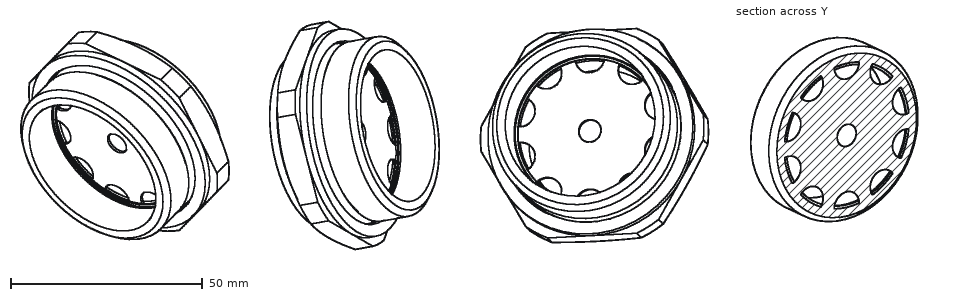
import cadquery as cq
import math


thread_end = 9.7
seal_face = 12.0
hex_front = 14.05
hex_bevel_start = 19.4
hex_bevel_end = 23.0
overall_length = 25.7

hex_sides = 6
hex_turn = 30.0
hex_across_flats = 55.0
corner_radius = 30.0
bevel_angle = math.radians(30)
cap_base_radius = corner_radius - (hex_bevel_end - hex_bevel_start) / math.tan(bevel_angle)

cap_top_radius = 23.5
cap_fillet = 1.1

thread_radius = 23.9
thread_chamfer = 1.5
neck_radius = 22.3
undercut_fillet = 2.1
undercut_angle = math.radians(60)

seal_outer_radius = hex_across_flats / 2
seal_inner_radius = 24.3

bore_radius = 20.1
bore_end_radius = 19.9
ledge_radius = 19.25
bore_taper_start = 10.25
bore_depth = 10.7
floor_depth = 11.2

plate_thickness = 0.7
plate_back = floor_depth + plate_thickness
plate_radius = 19.9
centre_hole_radius = 3.0
scallop_count = 10
scallop_radius = 3.95
scallop_pitch_radius = 19.6
chamber_radius = 18.95
end_wall = 3.0


def cylinder(radius, start, end):
    """Solid cylinder on the Y axis between two axial positions."""
    return cq.Workplane("XZ", origin=(0, start, 0)).circle(radius).extrude(start - end)


def revolve_profile(profile):
    """Turn a closed (radius, axial position) profile about the Y axis."""
    return profile.close().revolve(360, (0, 0, 0), (0, 1, 0))


def make_head():
    """Bevelled hexagon with the cap behind it."""
    turned = revolve_profile(
        cq.Workplane("XY")
        .moveTo(0, hex_front)
        .lineTo(corner_radius, hex_front)
        .lineTo(corner_radius, hex_bevel_start)
        .lineTo(cap_base_radius, hex_bevel_end)
        .lineTo(cap_top_radius, overall_length)
        .lineTo(0, overall_length)
    ).faces(">Y").edges().fillet(cap_fillet)
    hexagon = (
        cq.Workplane("XZ", origin=(0, hex_front, 0))
        .polygon(hex_sides, hex_across_flats, circumscribed=True)
        .extrude(hex_front - overall_length)
        .rotate((0, 0, 0), (0, 1, 0), hex_turn)
    )
    return turned.intersect(hexagon)


def make_seal_ring():
    """Plain ring against the hexagon, with a gap between it and the neck."""
    ring = cylinder(seal_outer_radius, seal_face, hex_front)
    return ring.cut(cylinder(seal_inner_radius, seal_face, hex_front))


def make_shank():
    """Chamfered threaded shank with a symmetrical undercut up to the hexagon."""
    neck_centre = (thread_end + hex_front) / 2
    arc_half_width = undercut_fillet * math.sin(undercut_angle)
    slope_radius = neck_radius + undercut_fillet * (1 - math.cos(undercut_angle))
    slope_width = neck_centre - thread_end - arc_half_width
    flare_radius = slope_radius + slope_width * math.tan(undercut_angle)
    return revolve_profile(
        cq.Workplane("XY")
        .lineTo(thread_radius - thread_chamfer, 0)
        .lineTo(thread_radius, thread_chamfer)
        .lineTo(thread_radius, thread_end)
        .lineTo(slope_radius, neck_centre - arc_half_width)
        .threePointArc((neck_radius, neck_centre), (slope_radius, neck_centre + arc_half_width))
        .lineTo(flare_radius, hex_front)
        .lineTo(0, hex_front)
    )


def make_bore():
    """Bore with a short taper and a ledge around its floor."""
    return revolve_profile(
        cq.Workplane("XY")
        .lineTo(bore_radius, 0)
        .lineTo(bore_radius, bore_taper_start)
        .lineTo(bore_end_radius, bore_depth)
        .lineTo(ledge_radius, bore_depth)
        .lineTo(ledge_radius, floor_depth)
        .lineTo(0, floor_depth)
    )


def make_chamber():
    """Round space between the plate and the end wall of the cap."""
    return cylinder(chamber_radius, plate_back, overall_length - end_wall)


def make_scallops():
    """Round notches through the rim of the plate, undercutting the lip."""
    notches = (
        cq.Workplane("XZ", origin=(0, floor_depth, 0))
        .polarArray(scallop_pitch_radius, 90, 360, scallop_count)
        .circle(scallop_radius)
        .extrude(-plate_thickness)
    )
    return notches.intersect(cylinder(plate_radius, floor_depth, plate_back))


def make_centre_hole():
    """Round hole through the middle of the plate."""
    return cylinder(centre_hole_radius, floor_depth, plate_back)


result = (
    make_head()
    .union(make_seal_ring())
    .union(make_shank())
    .cut(make_bore())
    .cut(make_chamber())
    .cut(make_scallops())
    .cut(make_centre_hole())
)